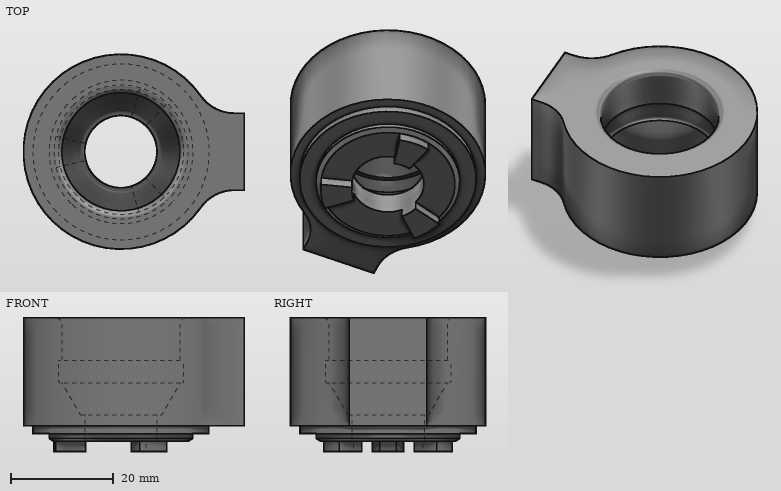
import cadquery as cq
import math

foot_height = 2.0
boss_height = 1.5
flange_height = 1.5
total_height = 26.0
boss_bottom = foot_height
boss_top = boss_bottom + boss_height
body_bottom = boss_top + flange_height
body_height = total_height - body_bottom

length = 42.95
body_radius = 18.95
flange_radius = 34.2 / 2
boss_radius = 27.9 / 2
boss_chamfer_height = 0.55
tab_width = 15.0
tab_blend_radius = 8.0
tab_end_x = length - body_radius

bore_radius = 22.92 / 2
mouth_round = 1.3
groove_radius = 24.3 / 2
groove_top = total_height - 8.25
groove_bottom = total_height - 12.65
corner_round = 0.4
seat_angle = 60
seat_floor_radius = 7.9
seat_floor = groove_bottom - (bore_radius - seat_floor_radius) * math.tan(math.radians(seat_angle))
hole_radius = 14.0 / 2

foot_count = 3
foot_outer_radius = 13.0
foot_angle = 27


def make_body():
    """Cylinder with a flat-ended tab on +X, joined by concave blends."""
    half_width = tab_width / 2
    blend_center_y = half_width + tab_blend_radius
    center_distance = body_radius + tab_blend_radius
    blend_center_x = math.sqrt(center_distance**2 - blend_center_y**2)
    blend_angle = math.atan2(blend_center_y, blend_center_x)
    tangent_x = body_radius * math.cos(blend_angle)
    tangent_y = body_radius * math.sin(blend_angle)
    middle_angle = (blend_angle + math.pi + 1.5 * math.pi) / 2
    middle_x = blend_center_x + tab_blend_radius * math.cos(middle_angle)
    middle_y = blend_center_y + tab_blend_radius * math.sin(middle_angle)
    return (
        cq.Workplane("XY", origin=(0, 0, body_bottom))
        .moveTo(tab_end_x, -half_width)
        .lineTo(tab_end_x, half_width)
        .lineTo(blend_center_x, half_width)
        .threePointArc((middle_x, middle_y), (tangent_x, tangent_y))
        .threePointArc((-body_radius, 0), (tangent_x, -tangent_y))
        .threePointArc((middle_x, -middle_y), (blend_center_x, -half_width))
        .close()
        .extrude(body_height)
    )


def make_base():
    """Flange and boss below the body, the boss tapering in to the outer face of the feet."""
    return (
        cq.Workplane("XZ")
        .moveTo(0, boss_bottom)
        .lineTo(foot_outer_radius, boss_bottom)
        .lineTo(boss_radius, boss_bottom + boss_chamfer_height)
        .lineTo(boss_radius, boss_top)
        .lineTo(flange_radius, boss_top)
        .lineTo(flange_radius, body_bottom)
        .lineTo(0, body_bottom)
        .close()
        .revolve(360, (0, 0), (0, 1))
    )


def make_feet():
    """Ring sectors spaced evenly around the axis, the first on -X."""
    sector_angle = math.radians(foot_angle / 2)
    edge_x = foot_outer_radius * math.cos(sector_angle)
    edge_y = foot_outer_radius * math.sin(sector_angle)
    wedge = (
        cq.Workplane("XY")
        .lineTo(-edge_x, edge_y)
        .threePointArc((-foot_outer_radius, 0), (-edge_x, -edge_y))
        .close()
        .extrude(boss_bottom)
    )
    feet = wedge
    for index in range(1, foot_count):
        feet = feet.union(wedge.rotate((0, 0, 0), (0, 0, 1), index * 360 / foot_count))
    return feet.cut(make_hole())


def make_bore():
    """Bore from the top down to the seat, with a rounded mouth."""
    round_start = total_height - mouth_round
    round_offset = mouth_round * (1 - math.sqrt(0.5))
    return (
        cq.Workplane("XZ")
        .moveTo(0, groove_bottom)
        .lineTo(bore_radius, groove_bottom)
        .lineTo(bore_radius, round_start)
        .threePointArc(
            (bore_radius + round_offset, total_height - round_offset),
            (bore_radius + mouth_round, total_height),
        )
        .lineTo(0, total_height)
        .close()
        .revolve(360, (0, 0), (0, 1))
    )


def make_groove():
    """Wider ring at the bottom of the bore, with a rounded lower corner."""
    return (
        cq.Workplane("XY", origin=(0, 0, groove_bottom))
        .circle(groove_radius)
        .extrude(groove_top - groove_bottom)
        .faces("<Z")
        .edges()
        .fillet(corner_round)
    )


def make_seat():
    """Conical seat narrowing to a flat floor, with a rounded lower corner."""
    return (
        cq.Workplane("XZ")
        .moveTo(0, seat_floor)
        .lineTo(seat_floor_radius, seat_floor)
        .lineTo(bore_radius, groove_bottom)
        .lineTo(0, groove_bottom)
        .close()
        .revolve(360, (0, 0), (0, 1))
        .faces("<Z")
        .edges()
        .fillet(corner_round)
    )


def make_hole():
    """Through hole along the axis."""
    return cq.Workplane("XY").circle(hole_radius).extrude(total_height)


result = make_body().union(make_base())
for cutter in (make_bore(), make_groove(), make_seat(), make_hole()):
    result = result.cut(cutter)
result = result.union(make_feet())